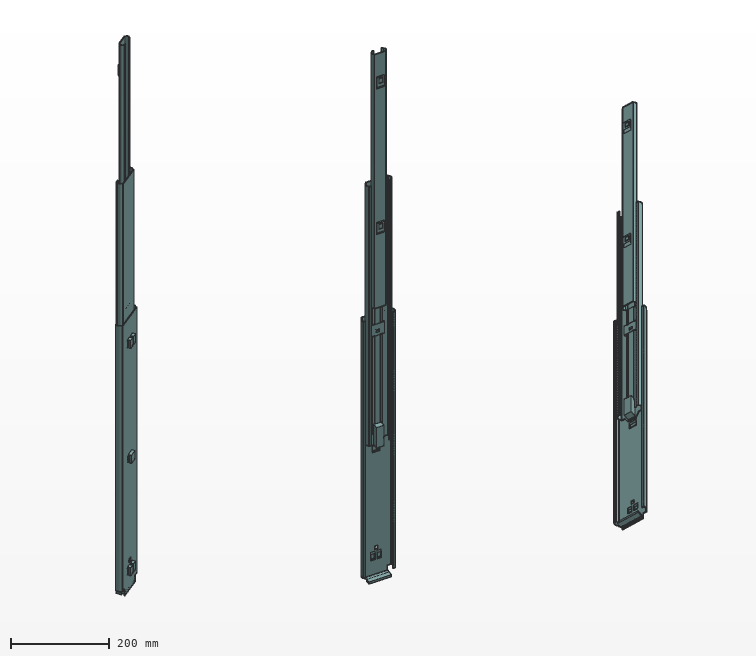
import cadquery as cq
import math


total_height = 1422.0
slide_depth = 19.2
sheet = 2.1
running_gap = 0.7
flange_bulge = 4.0
rim = 2.1

cabinet_half_width = 38.0
cabinet_tip_half = 37.0
cabinet_lip_half = 31.0
cabinet_depth = 15.0
cabinet_bottom = 17.0
cabinet_top = 708.0

middle_half_width = 30.0
middle_lip_half = 20.0
middle_bottom = 371.0
middle_top = 1071.0
tongue_half_base = 17.0
tongue_half_tip = 10.0
tongue_length = 15.0

drawer_half_width = 17.0
drawer_lip_half = 9.0
drawer_bottom = 737.0

stop_half_width = 25.0
stop_height = 5.0
stop_block_depth = 11.0

hook_reach = 7.0
hook_height = 21.0
hook_thickness = 4.0
pair_hook_width = 10.0
pair_hook_gap = 4.0
pair_hook_bottoms = (44.0, 636.0)
single_hook_width = 17.0
single_hook_bottom = 334.0
locating_hole_width = 7.0
locating_hole_height = 9.0
locating_hole_bottom = 71.0

clip_reach = 3.5
clip_half_width = 9.0
clip_height = 33.0
clip_slope_height = 7.0
clip_tops = (1361.0, 969.0)
clip_recess_half_width = 4.0
clip_recess_depth = 1.0
clip_recess_height = 13.0
clip_recess_drop = 4.0

bar_half_width = 11.0
bar_thickness = 1.0
ridge_half_width = 6.4
ridge_height = 1.0
bar_bottom = 388.0
ridge_bottom = 415.0
bar_end_gap = 1.0
latch_half_width = 15.0
latch_bottom = 653.0
latch_height = 31.0
latch_thickness = 3.5
latch_hole_size = 7.0
latch_hole_rise = 9.0
lever_half_width = 9.0
lever_bottom = 360.0

middle_web_x = -sheet - running_gap
middle_face_x = middle_web_x - sheet
drawer_face_x = -slide_depth
drawer_tip_x = middle_face_x - running_gap


def block(x_from, x_to, half_width, z_from, z_to, y_center=0.0):
    """Box between two X planes and two Z planes, centred on y_center."""
    return (
        cq.Workplane("XY", origin=((x_from + x_to) / 2, y_center, z_from))
        .rect(abs(x_to - x_from), 2 * half_width)
        .extrude(z_to - z_from)
    )


def rail(web_x, tip_x, half_width, tip_half, lip_half, tip_rim, z_from, z_to):
    """Channel with a flat web at web_x and bowed flanges that turn in to a lip at tip_x.

    tip_half is the half width at the flange tip; tip_rim is the flat margin there, which may be 0.
    """
    toward_tip = 1 if tip_x > web_x else -1
    root = half_width - flange_bulge
    bow_start_x = web_x + toward_tip * rim
    bow_end_x = tip_x - toward_tip * tip_rim
    start_share = math.sqrt(flange_bulge)
    end_share = math.sqrt(half_width - tip_half)
    crown_x = bow_start_x + (bow_end_x - bow_start_x) * start_share / (start_share + end_share)
    half = (
        cq.Workplane("XY", origin=(0, 0, z_from))
        .moveTo(web_x, 0)
        .lineTo(web_x, root)
        .lineTo(bow_start_x, root)
        .threePointArc((crown_x, half_width), (bow_end_x, tip_half))
    )
    if tip_rim > 0:
        half = half.lineTo(tip_x, tip_half)
    half = (
        half.lineTo(tip_x, lip_half)
        .lineTo(tip_x - toward_tip * sheet, lip_half)
        .lineTo(tip_x - toward_tip * sheet, tip_half - sheet)
        .threePointArc((crown_x, half_width - sheet), (web_x + toward_tip * sheet, root - sheet))
        .lineTo(web_x + toward_tip * sheet, 0)
        .close()
        .extrude(z_to - z_from)
    )
    return half.union(half.mirror("XZ"))


def add_hook(body, width, y_center, z_bottom):
    """Punch a window in the cabinet web and bend an L-shaped hook out of its top edge."""
    z_top = z_bottom + hook_height
    half = width / 2
    window = block(-sheet, 0, half, z_bottom, z_top - hook_thickness, y_center)
    arm = block(-sheet, hook_reach, half, z_top - hook_thickness, z_top, y_center)
    finger = block(hook_reach - hook_thickness, hook_reach, half, z_bottom, z_top, y_center)
    return body.cut(window).union(arm).union(finger)


def make_cabinet_rail():
    tip_rim = 0
    body = rail(
        0,
        -cabinet_depth,
        cabinet_half_width,
        cabinet_tip_half,
        cabinet_lip_half,
        tip_rim,
        cabinet_bottom,
        cabinet_top,
    )

    tab = block(-sheet, 0, stop_half_width, 0, cabinet_bottom)
    shelf = block(-slide_depth, 0, stop_half_width, stop_height - sheet, stop_height)
    front_block = block(-slide_depth, -slide_depth + stop_block_depth, stop_half_width, 0, stop_height)
    body = body.union(tab).union(shelf).union(front_block)

    pair_offset = (pair_hook_width + pair_hook_gap) / 2
    for z_bottom in pair_hook_bottoms:
        for side in (-1, 1):
            body = add_hook(body, pair_hook_width, side * pair_offset, z_bottom)
    body = add_hook(body, single_hook_width, 0, single_hook_bottom)

    locating_hole = block(
        -sheet, 0, locating_hole_width / 2, locating_hole_bottom, locating_hole_bottom + locating_hole_height
    )
    return body.cut(locating_hole)


def make_middle_rail():
    tip_half = middle_half_width - flange_bulge
    body = rail(
        middle_web_x, -slide_depth, middle_half_width, tip_half, middle_lip_half, rim, middle_bottom, middle_top
    )
    tongue = (
        cq.Workplane("YZ", origin=(middle_face_x, 0, 0))
        .polyline([
            (-tongue_half_base, middle_bottom),
            (-tongue_half_tip, middle_bottom - tongue_length),
            (tongue_half_tip, middle_bottom - tongue_length),
            (tongue_half_base, middle_bottom),
        ])
        .close()
        .extrude(sheet)
    )
    return body.union(tongue)


def make_clip(z_top):
    """Raised clip on the drawer face with a sloped foot and a shallow recess."""
    face_x = drawer_face_x - clip_reach
    z_bottom = z_top - clip_height
    clip = (
        cq.Workplane("XZ", origin=(0, clip_half_width, 0))
        .polyline([
            (drawer_face_x, z_top),
            (face_x, z_top),
            (face_x, z_bottom + clip_slope_height),
            (drawer_face_x, z_bottom),
        ])
        .close()
        .extrude(2 * clip_half_width)
    )
    recess_top = z_top - clip_recess_drop
    recess = block(
        face_x, face_x + clip_recess_depth, clip_recess_half_width, recess_top - clip_recess_height, recess_top
    )
    return clip.cut(recess)


def make_drawer_rail():
    tip_half = drawer_half_width - flange_bulge
    body = rail(
        drawer_face_x,
        drawer_tip_x,
        drawer_half_width,
        tip_half,
        drawer_lip_half,
        rim,
        drawer_bottom,
        total_height,
    )
    for z_top in clip_tops:
        body = body.union(make_clip(z_top))
    return body


def make_lock_bar():
    bar_top = drawer_bottom - bar_end_gap
    bar_face_x = middle_face_x - bar_thickness
    ridge_face_x = bar_face_x - ridge_height
    bar = block(bar_face_x, middle_face_x, bar_half_width, bar_bottom, bar_top)
    ridge = block(ridge_face_x, bar_face_x, ridge_half_width, ridge_bottom, bar_top)
    latch_face_x = middle_face_x - latch_thickness
    latch = block(latch_face_x, middle_face_x, latch_half_width, latch_bottom, latch_bottom + latch_height)
    hole_bottom = latch_bottom + latch_hole_rise
    hole = block(latch_face_x, middle_face_x, latch_hole_size / 2, hole_bottom, hole_bottom + latch_hole_size)
    lever = block(drawer_face_x, middle_face_x, lever_half_width, lever_bottom, ridge_bottom)
    return bar.union(ridge).union(latch).cut(hole).union(lever)


cabinet_rail = make_cabinet_rail()
middle_rail = make_middle_rail()
drawer_rail = make_drawer_rail()
lock_bar = make_lock_bar()

result = cq.Compound.makeCompound([
    cabinet_rail.val(),
    middle_rail.val(),
    drawer_rail.val(),
    lock_bar.val(),
])